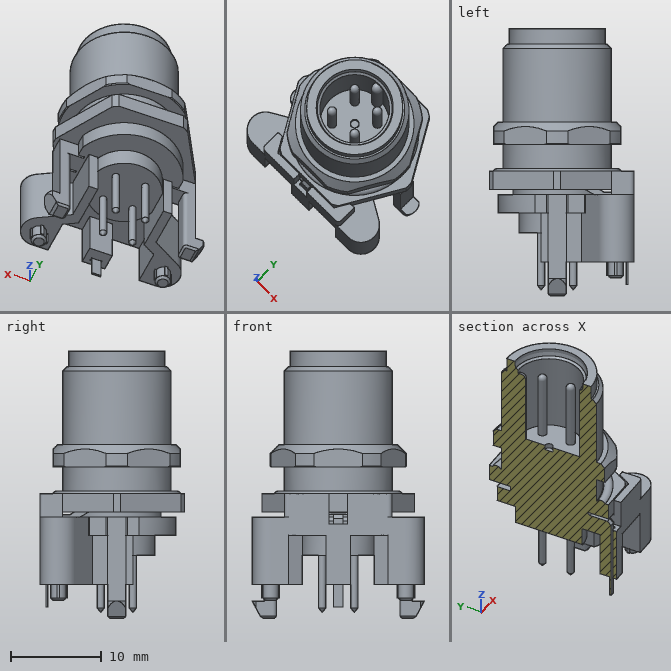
import cadquery as cq
import math

hook_ledge_z = 1.92
pin_bottom_z = 0.65
blade_bottom_z = 1.25
peg_bottom_z = 1.98
foot_bottom_z = 3.72
insert_bottom_z = 6.95
plate_bottom_z = 9.17
plate_top_z = 11.18
flange_bottom_z = 11.75
flange_top_z = 13.78
nut_bottom_z = 16.7
nut_top_z = 19.18
socket_floor_z = 19.18
shoulder_z = 27.8
rim_z = 29.5

barrel_radius = 6.0
barrel_chamfer = 0.47
spigot_radius = 5.3
rim_bore_radius = 4.25
rim_bore_depth = 0.47
ledge_outer_radius = 4.13
ledge_depth = 0.88
socket_radius = 3.84
socket_depth = 1.05
center_hole_radius = 0.47
center_hole_depth = 0.6
key_radius = 0.62
key_y = 3.5
key_top_z = 28.0
key_embedding = 0.15

pin_offset = 1.77
upper_pin_radius = 0.515
upper_pin_top_z = 27.3
lower_pin_radius = 0.4
lower_pin_cone = 0.5

nut_apothem = 7.02
nut_corner_radius = 7.52
nut_top_chamfer = 0.97
nut_bottom_chamfer = 0.12
flange_apothem = 7.5
flange_corner_radius = 8.45
flange_clearance = 0.12

ring_radius = 6.58
ring_tube_radius = 0.6
ring_z = 13.48

neck_radius = 4.9
insert_radius = 4.22
disk_radius = 6.52
disk_half_width = 6.05
disk_shoulder_y = -3.0
half_length = 9.5
front_y = -8.5
foot_radius = 2.05
foot_x = half_length - foot_radius
foot_y = front_y + foot_radius
foot_inner_x = 5.5
strut_angle = 30.0
strut_inner_y = -4.42
wall_outer_x = 5.02
wall_inner_x = 3.95
wall_back_y = 1.77
block_half_length = 5.95
block_back_y = -6.0
block_fillet = 0.47
middle_leg_half_width = 1.35
middle_leg_depth = 2.1
notch_half_width = 1.0
notch_floor_z = 10.45
notch_bevel_z = 10.75
notch_bevel = 0.45
channel_floor_z = 11.45

blade_half_width = 0.53
blade_back_y = -7.6
blade_thickness = 0.2
blade_top_z = 11.0
slot_half_width = 0.62
slot_front_y = -8.0
ramp_half_length = 4.13
ramp_back_y = -3.1
ramp_shift = 1.6
ramp_run = 0.97

peg_radius = 0.85
peg_chamfer = 0.27
rib_reach = 1.0
rib_width = 0.32

arm_half_width = 1.0
arm_inner_x = 6.8
arm_outer_x = 8.17
arm_root_x = 4.42
arm_gap = 0.2
arm_gap_root_x = 5.3
arm_edge_radius = 0.4
hook_side_x = 9.05
hook_tip_x = 8.5
hook_chamfer = 0.25


def cylinder(radius, bottom, top, x=0, y=0):
    return cq.Workplane("XY", origin=(x, y, bottom)).circle(radius).extrude(top - bottom)


def box(x0, x1, y0, y1, z0, z1):
    return cq.Workplane("XY").box(x1 - x0, y1 - y0, z1 - z0, centered=False).translate((x0, y0, z0))


def revolve_profile(points):
    """Turn a closed outline of (radius, height) points about the Z axis."""
    return cq.Workplane("XZ").polyline(points).close().revolve(360, (0, 0, 0), (0, 1, 0))


def hexagon(apothem, bottom, top):
    """Hexagonal prism with corners on the X axis."""
    corner_diameter = 2 * apothem / math.cos(math.radians(30))
    return cq.Workplane("XY", origin=(0, 0, bottom)).polygon(6, corner_diameter).extrude(top - bottom)


def both_sides(shape):
    return shape.union(shape.mirror("YZ"))


def make_barrel():
    outside = revolve_profile([
        (0, insert_bottom_z),
        (insert_radius, insert_bottom_z),
        (insert_radius, plate_top_z),
        (neck_radius, plate_top_z),
        (neck_radius, flange_bottom_z),
        (barrel_radius, flange_bottom_z),
        (barrel_radius, shoulder_z - barrel_chamfer),
        (barrel_radius - barrel_chamfer, shoulder_z),
        (spigot_radius, shoulder_z),
        (spigot_radius, rim_z),
        (0, rim_z),
    ])
    socket = revolve_profile([
        (0, rim_z),
        (rim_bore_radius, rim_z),
        (rim_bore_radius, rim_z - rim_bore_depth),
        (ledge_outer_radius, rim_z - ledge_depth),
        (socket_radius, rim_z - socket_depth),
        (socket_radius, socket_floor_z),
        (center_hole_radius, socket_floor_z),
        (center_hole_radius, socket_floor_z - center_hole_depth),
        (0, socket_floor_z - center_hole_depth),
    ])
    return outside.cut(socket)


def make_key():
    """Coding key: a round-topped rib from the socket wall with a domed front."""
    axis_z = key_top_z - key_radius
    post = cylinder(key_radius, socket_floor_z, axis_z, y=key_y)
    dome = cq.Workplane("XY").sphere(key_radius).translate((0, key_y, axis_z))
    wall_y = socket_radius + key_embedding
    web = box(-key_radius, key_radius, key_y, wall_y, socket_floor_z, axis_z)
    web_top = cq.Workplane("XZ", origin=(0, key_y, axis_z)).circle(key_radius).extrude(key_y - wall_y)
    return post.union(dome).union(web).union(web_top)


def make_pins():
    pins = cq.Workplane("XY")
    dome_z = upper_pin_top_z - upper_pin_radius
    for x in (-pin_offset, pin_offset):
        for y in (-pin_offset, pin_offset):
            upper = cylinder(upper_pin_radius, insert_bottom_z, dome_z, x, y)
            dome = cq.Workplane("XY").sphere(upper_pin_radius).translate((x, y, dome_z))
            lower = revolve_profile([
                (0, pin_bottom_z),
                (lower_pin_radius, pin_bottom_z + lower_pin_cone),
                (lower_pin_radius, plate_bottom_z),
                (0, plate_bottom_z),
            ]).translate((x, y, 0))
            pins = pins.union(upper).union(dome).union(lower)
    return pins


def make_nut():
    base_radius = nut_corner_radius - nut_bottom_chamfer
    envelope = revolve_profile([
        (0, nut_bottom_z),
        (base_radius, nut_bottom_z),
        (nut_corner_radius, nut_bottom_z + nut_bottom_chamfer),
        (nut_corner_radius, nut_top_z - nut_top_chamfer),
        (nut_corner_radius - nut_top_chamfer, nut_top_z),
        (0, nut_top_z),
    ])
    bore = cylinder(barrel_radius, nut_bottom_z, nut_top_z)
    return hexagon(nut_apothem, nut_bottom_z, nut_top_z).intersect(envelope).cut(bore)


def make_flange():
    """Hexagonal flange that carries the sealing ring, with the barrel passing through."""
    plate = hexagon(flange_apothem, flange_bottom_z, flange_top_z)
    plate = plate.intersect(cylinder(flange_corner_radius, flange_bottom_z, flange_top_z))
    ring = cq.Workplane("XY").add(cq.Solid.makeTorus(ring_radius, ring_tube_radius)).translate((0, 0, ring_z))
    return plate.union(ring)


def make_foot():
    """Left foot: rounded end, slanted strut towards the middle and straight wall behind."""
    slant = math.radians(strut_angle)
    slope = math.tan(slant)
    tangent_x = -foot_x - foot_radius * math.sin(slant)
    tangent_y = foot_y + foot_radius * math.cos(slant)
    outline = (
        cq.Workplane("XY", origin=(0, 0, foot_bottom_z))
        .moveTo(-foot_inner_x, front_y)
        .lineTo(-foot_x, front_y)
        .threePointArc((-half_length, foot_y), (tangent_x, tangent_y))
        .lineTo(-wall_outer_x, tangent_y + slope * (-wall_outer_x - tangent_x))
        .lineTo(-wall_outer_x, wall_back_y)
        .lineTo(-wall_inner_x, wall_back_y)
        .lineTo(-wall_inner_x, strut_inner_y + slope * (foot_inner_x - wall_inner_x))
        .lineTo(-foot_inner_x, strut_inner_y)
        .close()
    )
    return outline.extrude(plate_top_z - foot_bottom_z)


def make_peg():
    """Left locating peg with crush ribs."""
    peg = cylinder(peg_radius, peg_bottom_z, foot_bottom_z).faces("<Z").chamfer(peg_chamfer)
    rib_bottom_z = peg_bottom_z + peg_chamfer
    half_rib = rib_width / 2
    cross_rib = box(-rib_reach, rib_reach, -half_rib, half_rib, rib_bottom_z, foot_bottom_z)
    back_rib = box(-half_rib, half_rib, 0, rib_reach, rib_bottom_z, foot_bottom_z)
    return peg.union(cross_rib).union(back_rib).translate((-foot_x, foot_y, 0))


def make_base():
    disk = cylinder(disk_radius, plate_bottom_z, plate_top_z)
    disk = disk.intersect(
        box(-disk_half_width, disk_half_width, -disk_radius, disk_radius, plate_bottom_z, plate_top_z)
    )
    shoulder = box(-disk_half_width, disk_half_width, disk_shoulder_y, 0, plate_bottom_z, plate_top_z)
    bridge = box(-foot_inner_x, foot_inner_x, front_y, strut_inner_y, plate_bottom_z, plate_top_z)
    middle_leg = box(
        -middle_leg_half_width, middle_leg_half_width,
        front_y, front_y + middle_leg_depth,
        foot_bottom_z, plate_top_z,
    )
    block = box(
        -block_half_length, block_half_length, front_y, block_back_y, plate_top_z, flange_top_z
    ).edges("|Z and <Y").fillet(block_fillet)
    pocket = hexagon(flange_apothem + flange_clearance, flange_bottom_z, flange_top_z)
    base = disk.union(shoulder).union(bridge).union(middle_leg).union(block.cut(pocket))
    return base.union(both_sides(make_foot().union(make_peg()))).cut(make_notch())


def make_notch():
    """Front notch with a bevelled back, opening into a channel under the flange."""
    flange_gap_y = -flange_apothem - flange_clearance
    bevel_back_y = blade_back_y + notch_bevel
    return (
        cq.Workplane("YZ", origin=(-notch_half_width, 0, 0))
        .moveTo(front_y, notch_floor_z)
        .lineTo(blade_back_y, notch_floor_z)
        .lineTo(blade_back_y, notch_bevel_z)
        .lineTo(bevel_back_y, notch_bevel_z + notch_bevel)
        .lineTo(bevel_back_y, channel_floor_z)
        .lineTo(block_back_y, channel_floor_z)
        .lineTo(block_back_y, flange_bottom_z)
        .lineTo(flange_gap_y, flange_bottom_z)
        .lineTo(flange_gap_y, flange_top_z)
        .lineTo(front_y, flange_top_z)
        .close()
        .extrude(2 * notch_half_width)
    )


def make_ramp():
    """Sloping web from below the flange down to a shelf that meets the front block."""
    slope_top_y = ramp_back_y - ramp_shift
    return (
        cq.Workplane("YZ", origin=(-ramp_half_length, 0, 0))
        .moveTo(ramp_back_y, flange_bottom_z)
        .lineTo(slope_top_y, flange_bottom_z)
        .lineTo(slope_top_y - ramp_run / 2, channel_floor_z)
        .lineTo(block_back_y, channel_floor_z)
        .lineTo(block_back_y, plate_top_z)
        .lineTo(ramp_back_y - ramp_run, plate_top_z)
        .close()
        .extrude(2 * ramp_half_length)
    )


def make_blade():
    """Upright contact blade whose top leans back onto the channel floor."""
    blade_front_y = blade_back_y - blade_thickness
    return (
        cq.Workplane("YZ", origin=(-blade_half_width, 0, 0))
        .moveTo(blade_front_y, blade_bottom_z)
        .lineTo(blade_front_y, blade_top_z)
        .lineTo(blade_front_y + channel_floor_z - blade_top_z, channel_floor_z)
        .lineTo(blade_back_y + notch_bevel, channel_floor_z)
        .lineTo(blade_back_y + notch_bevel, notch_bevel_z)
        .lineTo(blade_back_y, notch_bevel_z)
        .lineTo(blade_back_y, blade_bottom_z)
        .close()
        .extrude(2 * blade_half_width)
    )


def make_blade_slot():
    return box(
        -slot_half_width, slot_half_width, slot_front_y, blade_back_y, foot_bottom_z, notch_floor_z
    )


def make_snap_arm():
    """Left snap arm: upright strip with an outward hook whose nose is bowed and undercut."""
    strip = box(-arm_outer_x, -arm_inner_x, -arm_half_width, arm_half_width, 0, plate_top_z)
    hook = (
        cq.Workplane("XY")
        .moveTo(-arm_outer_x, -arm_half_width)
        .lineTo(-hook_side_x, -arm_half_width)
        .threePointArc((-half_length, 0), (-hook_side_x, arm_half_width))
        .lineTo(-arm_outer_x, arm_half_width)
        .close()
        .extrude(hook_ledge_z)
    )
    undercut = (
        cq.Workplane("XZ")
        .moveTo(-half_length, hook_ledge_z)
        .lineTo(-hook_tip_x, 0)
        .lineTo(-half_length, 0)
        .close()
        .extrude(arm_half_width, both=True)
    )
    strip = strip.edges("|Z and >X").fillet(arm_edge_radius)
    arm = strip.union(hook).cut(undercut).faces("<Z").chamfer(hook_chamfer)
    root = box(-arm_outer_x, -arm_root_x, -arm_half_width, arm_half_width, plate_bottom_z, plate_top_z)
    return arm.union(root)


def make_arm_gap():
    """Relief on both sides of the left arm where it leaves the disk."""
    reach = arm_half_width + arm_gap
    whole = box(-half_length, -arm_gap_root_x, -reach, reach, plate_bottom_z, plate_top_z)
    kept = box(-half_length, -arm_gap_root_x, -arm_half_width, arm_half_width, plate_bottom_z, plate_top_z)
    return whole.cut(kept)


connector = make_barrel().union(make_key()).union(make_pins()).union(make_nut())
base = make_base().cut(make_blade_slot()).cut(both_sides(make_arm_gap()))
base = base.union(make_blade()).union(make_ramp())
result = connector.union(make_flange()).union(base).union(both_sides(make_snap_arm()))